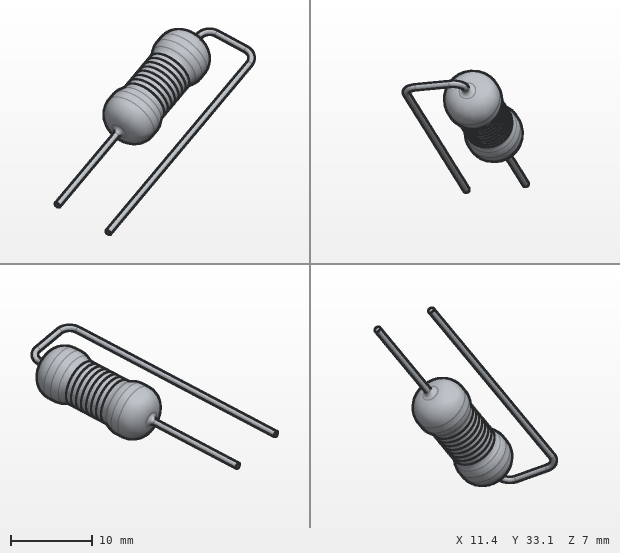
import cadquery as cq
import math


cap_diameter = 7.0
waist_diameter = 5.95
body_length = 16.5
shoulder_length = 2.0

band_diameter = 5.97
band_count = 4
waist_length = 5.5

wire_diameter = 0.8
lead_pitch = 7.5
bend_radius = 1.6
neck_fillet = 0.65
neck_to_bend = 0.35
overall_length = 33.1

cap_radius = cap_diameter / 2
waist_radius = waist_diameter / 2
wire_radius = wire_diameter / 2
body_end = body_length / 2
waist_end = waist_length / 2
shoulder_end = waist_end + shoulder_length
flare_radius = wire_radius + neck_fillet
cap_round = cap_radius - flare_radius
land_end = body_end - cap_round
neck_end = body_end + neck_fillet
bend_start = neck_end + neck_to_bend
bridge_y = bend_start + bend_radius
lead_end_y = bridge_y + wire_radius - overall_length

arc_mid = math.sin(math.pi / 4)
arc_sagitta = 1 - arc_mid


def shoulder_points():
    """Inflection and midpoints of the two equal tangent arcs that form a shoulder."""
    half_run = shoulder_length / 2
    half_rise = (cap_radius - waist_radius) / 2
    arc_radius = (half_run**2 + half_rise**2) / (2 * half_rise)
    half_angle = math.asin(half_run / arc_radius) / 2
    mid_run = arc_radius * math.sin(half_angle)
    mid_rise = arc_radius * (1 - math.cos(half_angle))
    inflection = (waist_radius + half_rise, waist_end + half_run)
    waist_mid = (waist_radius + mid_rise, waist_end + mid_run)
    cap_mid = (cap_radius - mid_rise, shoulder_end - mid_run)
    return waist_mid, inflection, cap_mid


def make_body_end():
    """Revolve the +Y end of the body: shoulder, rounded cap and wire flare."""
    waist_mid, inflection, cap_mid = shoulder_points()
    cap_corner_mid = (flare_radius + cap_round * arc_mid, land_end + cap_round * arc_mid)
    flare_mid = (wire_radius + neck_fillet * arc_sagitta, body_end + neck_fillet * arc_sagitta)
    profile = (
        cq.Workplane("XY")
        .moveTo(0, waist_end)
        .lineTo(waist_radius, waist_end)
        .threePointArc(waist_mid, inflection)
        .threePointArc(cap_mid, (cap_radius, shoulder_end))
        .lineTo(cap_radius, land_end)
        .threePointArc(cap_corner_mid, (flare_radius, body_end))
        .threePointArc(flare_mid, (wire_radius, neck_end))
        .lineTo(0, neck_end)
        .close()
    )
    return profile.revolve(360, (0, 0, 0), (0, 1, 0))


def make_cylinder(diameter, start_y, end_y):
    """Cylinder along Y between two Y positions."""
    base = cq.Workplane("XZ", origin=(0, start_y, 0))
    return base.circle(diameter / 2).extrude(start_y - end_y)


def add_bands(body):
    """Evenly spaced bands, with gaps as wide as the bands."""
    band_width = waist_length / (2 * band_count - 1)
    for index in range(band_count):
        start_y = -waist_end + 2 * index * band_width
        body = body.union(make_cylinder(band_diameter, start_y, start_y + band_width))
    return body


def make_return_lead():
    """Wire leaving the +Y end, bent over and running back parallel to the body."""
    first_bend_mid = (bend_radius * arc_sagitta, bend_start + bend_radius * arc_mid)
    second_bend_mid = (lead_pitch - bend_radius * arc_sagitta, bend_start + bend_radius * arc_mid)
    path = (
        cq.Workplane("XY")
        .moveTo(0, neck_end)
        .lineTo(0, bend_start)
        .threePointArc(first_bend_mid, (bend_radius, bridge_y))
        .lineTo(lead_pitch - bend_radius, bridge_y)
        .threePointArc(second_bend_mid, (lead_pitch, bend_start))
        .lineTo(lead_pitch, lead_end_y)
    )
    section = cq.Workplane("XZ", origin=(0, neck_end, 0)).circle(wire_radius)
    return section.sweep(path)


waist = make_cylinder(waist_diameter, -waist_end, waist_end)
end_cap = make_body_end()
body = waist.union(end_cap).union(end_cap.mirror("XZ"))
body = add_bands(body)
straight_lead = make_cylinder(wire_diameter, lead_end_y, -neck_end)
result = body.union(straight_lead).union(make_return_lead())